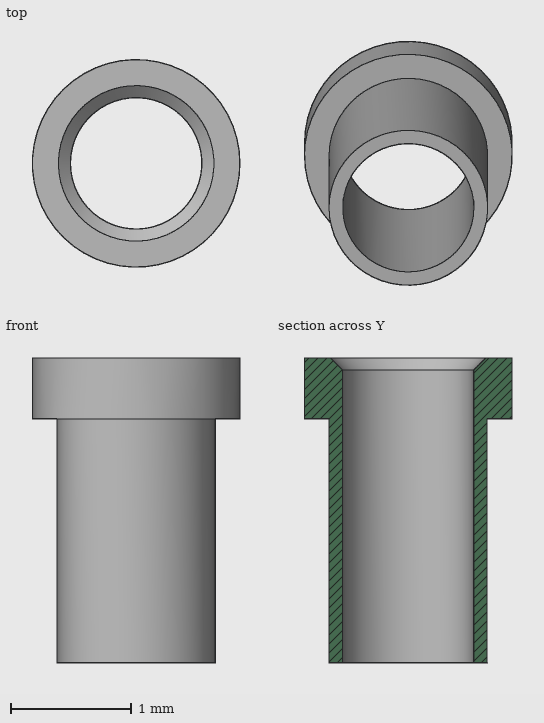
import cadquery as cq

total_height = 2.54
head_height = 0.508
head_diameter = 1.73
barrel_diameter = 1.32
bore_diameter = 1.092
bore_chamfer = 0.102

barrel = cq.Workplane("XY").circle(barrel_diameter / 2).extrude(total_height)
head = (
    cq.Workplane("XY")
    .workplane(offset=total_height - head_height)
    .circle(head_diameter / 2)
    .extrude(head_height)
)
body = barrel.union(head)

bored_body = body.faces(">Z").workplane().hole(bore_diameter)
result = bored_body.faces(">Z").edges("%CIRCLE").edges(cq.selectors.RadiusNthSelector(0)).chamfer(bore_chamfer)